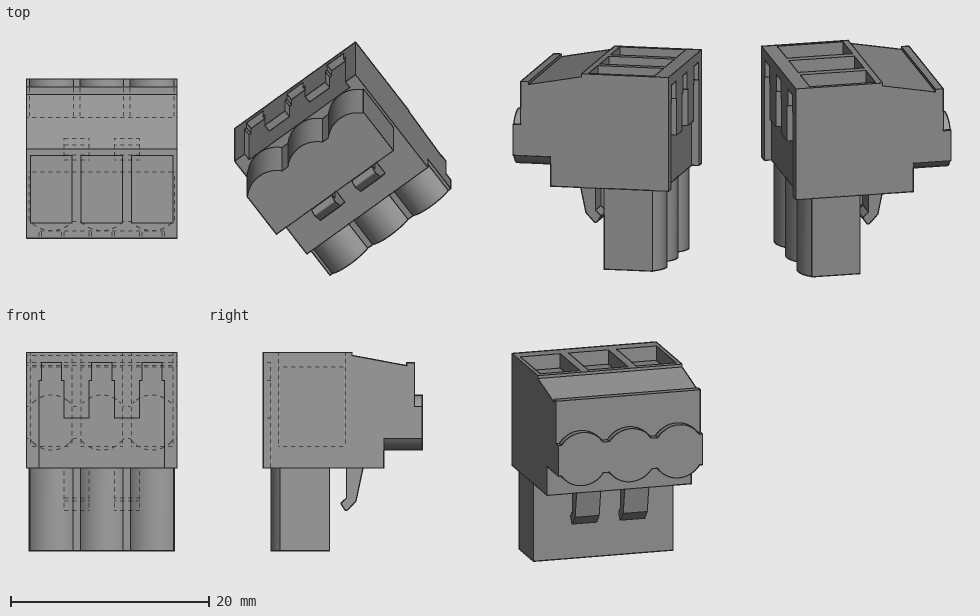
import cadquery as cq


pitch = 5.08
pole_count = 3
width = pitch * pole_count
pole_centres = [pitch * (i + 0.5) for i in range(pole_count)]
gap_centres = [pitch * i for i in range(1, pole_count)]

total_height = 20.05
total_depth = 16.1

housing_bottom = 8.35
body_depth = 12.2
rear_wall = 15.3
rear_lip_front = 14.5
rear_lip_top = 19.0
slope_low = 18.72
slope_high = 19.75
top_flat_depth = 9.0

screw_axis_height = 12.96
ledge_half_height = 1.6
ledge_bottom = screw_axis_height - ledge_half_height
ledge_top = screw_axis_height + ledge_half_height
barrel_half_chord = 2.22
barrel_rise = 1.18

plug_side_inset = 0.25
plug_rear = 6.72
plug_flat_front = 1.72
plug_lobe_front = 0.78
plug_half_chord = 2.17

recess_depth = 0.75
slot_width = pitch / 2
slot_top = total_height - 2.85
slot_tip_width = 2.06
slot_tip_top = total_height - 1.05
rib_bottom = total_height - 6.62

entry_width = 4.2
entry_front = 1.55
entry_rear = 8.35
entry_depth = 1.5
clamp_height = 8.0
clamp_top = total_height - entry_depth
clamp_bottom = clamp_top - clamp_height

latch_width = pitch / 2
latch_front = 8.42
latch_rear = 10.1
latch_knee = (9.4, 5.03)
latch_tip = (8.38, 3.95)
latch_nose = (7.83, 4.8)
latch_neck_height = 5.33
latch_tip_radius = 0.2


def box(x_min, x_max, y_min, y_max, z_min, z_max):
    """Box given by its limits along each axis."""
    size = (x_max - x_min, y_max - y_min, z_max - z_min)
    return cq.Workplane("XY").box(*size, centered=False).translate((x_min, y_min, z_min))


def make_shell():
    """Housing side profile, carried across the full width."""
    profile = [
        (0, housing_bottom),
        (0, total_height),
        (top_flat_depth, total_height),
        (top_flat_depth, slope_high),
        (rear_lip_front, slope_low),
        (rear_lip_front, rear_lip_top),
        (rear_wall, rear_lip_top),
        (rear_wall, ledge_top),
        (total_depth, ledge_top),
        (total_depth, ledge_bottom),
        (body_depth, ledge_bottom),
        (body_depth, housing_bottom),
    ]
    return cq.Workplane("YZ").polyline(profile).close().extrude(width)


def make_screw_barrel(x):
    """Barrel bulging above and below the screw ledge."""
    left = x - barrel_half_chord
    right = x + barrel_half_chord
    return (
        cq.Workplane("XZ", origin=(0, total_depth, 0))
        .moveTo(left, ledge_bottom)
        .threePointArc((x, ledge_bottom - barrel_rise), (right, ledge_bottom))
        .lineTo(right, ledge_top)
        .threePointArc((x, ledge_top + barrel_rise), (left, ledge_top))
        .close()
        .extrude(total_depth - body_depth)
    )


def make_plug():
    """Plug with a flat back and one rounded lobe per pole at the front."""
    outline = cq.Workplane("XY").moveTo(plug_side_inset, plug_rear)
    outline = outline.lineTo(plug_side_inset, plug_flat_front)
    for x in pole_centres:
        outline = outline.lineTo(x - plug_half_chord, plug_flat_front)
        outline = outline.threePointArc((x, plug_lobe_front), (x + plug_half_chord, plug_flat_front))
    outline = outline.lineTo(width - plug_side_inset, plug_flat_front)
    outline = outline.lineTo(width - plug_side_inset, plug_rear)
    return outline.close().extrude(housing_bottom)


def make_front_recess():
    """Shallow recess, open at the bottom, with a stepped slot rising at each pole."""
    first = pole_centres[0] - slot_width / 2
    last = pole_centres[-1] + slot_width / 2
    recess = box(first, last, 0, recess_depth, housing_bottom, rib_bottom)
    for x in pole_centres:
        for slot, top in ((slot_width, slot_top), (slot_tip_width, slot_tip_top)):
            recess = recess.union(box(x - slot / 2, x + slot / 2, 0, recess_depth, housing_bottom, top))
    return recess


def make_latch(x):
    """Hooked latch hanging below the housing."""
    profile = [
        (latch_rear, housing_bottom),
        latch_knee,
        latch_tip,
        latch_nose,
        (latch_front, latch_neck_height),
        (latch_front, housing_bottom),
    ]
    start = x - latch_width / 2
    hook = cq.Workplane("YZ", origin=(start, 0, 0)).polyline(profile).close().extrude(latch_width)
    for y, z in (latch_tip, latch_nose):
        hook = hook.edges(cq.selectors.NearestToPointSelector((x, y, z))).fillet(latch_tip_radius)
    return hook


def make_entry_block(x, bottom, top):
    """Block with the plan outline of a wire entry."""
    return box(x - entry_width / 2, x + entry_width / 2, entry_front, entry_rear, bottom, top)


def make_clamp(x):
    """Clamp block standing in its wire entry, below the rim."""
    return make_entry_block(x, clamp_bottom, clamp_top)


def make_entry(x):
    """Wire entry well that also holds the clamp."""
    return make_entry_block(x, clamp_bottom, total_height)


def make_housing():
    """Housing with its plug, screw barrels, latches, front recess and wire entries."""
    body = make_shell().union(make_plug())
    for x in pole_centres:
        body = body.union(make_screw_barrel(x))
    for x in gap_centres:
        body = body.union(make_latch(x))
    body = body.cut(make_front_recess())
    for x in pole_centres:
        body = body.cut(make_entry(x))
    return body


housing = make_housing()
clamps = [make_clamp(x) for x in pole_centres]

result = cq.Compound.makeCompound([housing.val(), *[clamp.val() for clamp in clamps]])